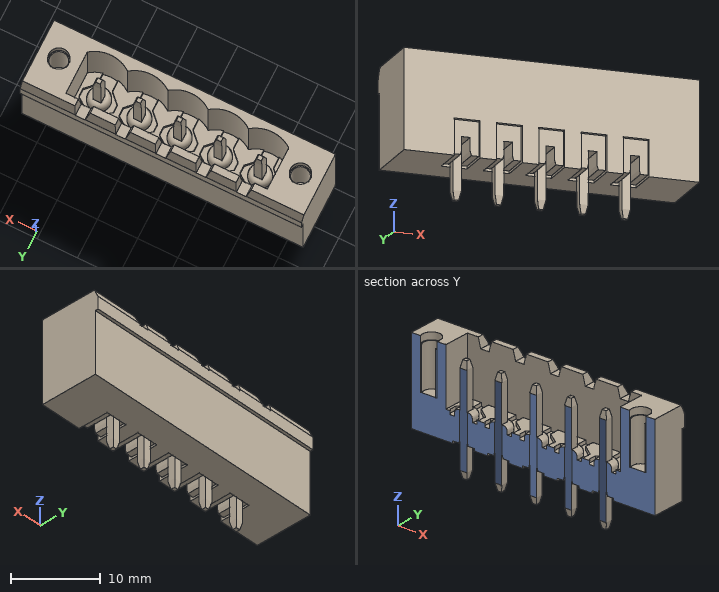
import cadquery as cq


pin_count = 5
pitch = 5.0
pin_y = 3.78
pin_xs = [(i - (pin_count - 1) / 2) * pitch for i in range(pin_count)]
sleeve_xs = [pin_xs[0] - pitch, pin_xs[-1] + pitch]

length = 35
body_depth = 8.1
lip_overhang = 0.42
full_depth = body_depth + lip_overhang
height = 11.97
lip_height = 3.0
lip_chamfer_depth = 0.6
lip_chamfer_height = 1.22

cavity_length = pin_count * pitch
cavity_rear_y = 7.05
scallop_cusp_y = 1.68
scallop_bottom_y = 0.85
floor_z = 4.0

pin_width = 1.0
pin_tip_width = 0.55
pin_taper = 1.0
pin_top_z = 10.7
pin_bottom_z = -4.02
pin_rear_y = pin_y + pin_width / 2

notch_top_width = 1.9
notch_bottom_width = 1.2
notch_depth = 1.35

recess_depth = 0.5
recess_width = 4.27
recess_front_width = notch_top_width
recess_rear_width = pin_width
recess_rear_bend_y = 5.75
recess_rear_side_y = 4.55
recess_front_side_y = 3.55
recess_front_bend_y = 2.35

boss_diameter = 2.8
boss_top_diameter = 1.6
boss_height = 1.0
boss_rounding = (boss_diameter - boss_top_diameter) / 2

window_width = 3.05
window_height = 4.35
window_depth = 0.45
slot_height = 2.4
relief_height = 0.3
slot_flare_top_z = 0.8
slot_flare_width = 1.3

sleeve_diameter = 2.5
sleeve_bore = 2.2
sleeve_sink = 0.98
sleeve_hole_depth = 7


def box(x_center, width, y_range, z_range):
    """Box of a given width about x_center that fills the given Y and Z ranges."""
    y_start, y_end = y_range
    z_start, z_end = z_range
    solid = cq.Workplane("XY").box(width, y_end - y_start, z_end - z_start, centered=(True, False, False))
    return solid.translate((x_center, y_start, z_start))


def housing_block():
    """Plain block extruded along X from its side profile with the chamfered lip."""
    profile = [
        (0, 0),
        (body_depth, 0),
        (body_depth, height - lip_height),
        (full_depth, height - lip_height),
        (full_depth, height - lip_chamfer_height),
        (full_depth - lip_chamfer_depth, height),
        (0, height),
    ]
    return cq.Workplane("YZ").polyline(profile).close().extrude(length / 2, both=True)


def mating_cavity():
    """Open-topped cavity whose front wall is one arc per pin."""
    side_x = cavity_length / 2
    outline = cq.Workplane("XY", origin=(0, 0, floor_z)).moveTo(-side_x, cavity_rear_y)
    outline = outline.lineTo(-side_x, scallop_cusp_y)
    for x in pin_xs:
        outline = outline.threePointArc((x, scallop_bottom_y), (x + pitch / 2, scallop_cusp_y))
    return outline.lineTo(side_x, cavity_rear_y).close().extrude(height - floor_z)


def notch(x):
    """Tapered notch through the rear wall, open at the top."""
    bottom_z = height - notch_depth
    profile = [
        (x - notch_top_width / 2, height),
        (x - notch_bottom_width / 2, bottom_z),
        (x + notch_bottom_width / 2, bottom_z),
        (x + notch_top_width / 2, height),
    ]
    rear_wall = cq.Workplane("XZ", origin=(0, cavity_rear_y, 0))
    return rear_wall.polyline(profile).close().extrude(cavity_rear_y - full_depth)


def floor_recess(x):
    """Recess across the cavity floor, widened around the pin and cut to the cavity outline."""
    right_side = [
        (recess_front_width / 2, 0),
        (recess_front_width / 2, recess_front_bend_y),
        (recess_width / 2, recess_front_side_y),
        (recess_width / 2, recess_rear_side_y),
        (recess_rear_width / 2, recess_rear_bend_y),
        (recess_rear_width / 2, cavity_rear_y),
    ]
    left_side = [(-half_width, y) for half_width, y in reversed(right_side)]
    outline = [(x + offset, y) for offset, y in right_side + left_side]
    recess = cq.Workplane("XY", origin=(0, 0, floor_z - recess_depth)).polyline(outline).close()
    return recess.extrude(recess_depth).intersect(mating_cavity().translate((0, 0, -recess_depth)))


def pin_boss(x):
    """Round boss with a rounded top edge, standing on the recess floor."""
    boss = cq.Workplane("XY", origin=(x, pin_y, floor_z - recess_depth))
    return boss.circle(boss_diameter / 2).extrude(boss_height).faces(">Z").edges().fillet(boss_rounding)


def pin_entry(x):
    """Front window, underside relief and flared slot that leave the pin open below the cavity."""
    window = box(x, window_width, (0, window_depth), (0, window_height))
    relief = box(x, window_width, (0, pin_rear_y), (0, relief_height))
    slot_profile = [
        (x - slot_flare_width / 2, relief_height),
        (x - pin_width / 2, slot_flare_top_z),
        (x - pin_width / 2, slot_height),
        (x + pin_width / 2, slot_height),
        (x + pin_width / 2, slot_flare_top_z),
        (x + slot_flare_width / 2, relief_height),
    ]
    slot = cq.Workplane("XZ").polyline(slot_profile).close().extrude(-pin_rear_y)
    return window.union(relief).union(slot)


def make_pin(x):
    """Square pin, tapered to a smaller square at both ends."""
    taper_top_z = pin_top_z - pin_taper
    taper_bottom_z = pin_bottom_z + pin_taper

    def end_taper(start_z, rise):
        base = cq.Workplane("XY", origin=(x, pin_y, start_z)).rect(pin_width, pin_width)
        return base.workplane(offset=rise).rect(pin_tip_width, pin_tip_width).loft()

    shaft = cq.Workplane("XY", origin=(x, pin_y, taper_bottom_z)).rect(pin_width, pin_width)
    shaft = shaft.extrude(taper_top_z - taper_bottom_z)
    return shaft.union(end_taper(taper_top_z, pin_taper)).union(end_taper(taper_bottom_z, -pin_taper))


def sleeve_hole(x):
    """Blind flange hole that holds a sleeve."""
    hole = cq.Workplane("XY", origin=(x, pin_y, height))
    return hole.circle(sleeve_diameter / 2).extrude(-sleeve_hole_depth)


def make_sleeve(x):
    """Tube on the bottom of the flange hole, sunk below the top face."""
    ring = cq.Workplane("XY", origin=(x, pin_y, height - sleeve_hole_depth))
    ring = ring.circle(sleeve_diameter / 2).circle(sleeve_bore / 2)
    return ring.extrude(sleeve_hole_depth - sleeve_sink)


def make_housing(pins):
    """Housing with its cavity, notches, bosses and flange holes, and a fitting hole for each pin."""
    body = housing_block().cut(mating_cavity())
    for x, pin in zip(pin_xs, pins):
        body = body.cut(notch(x)).cut(floor_recess(x)).union(pin_boss(x))
        body = body.cut(pin_entry(x)).cut(pin)
    for x in sleeve_xs:
        body = body.cut(sleeve_hole(x))
    return body


pins = [make_pin(x) for x in pin_xs]
sleeves = [make_sleeve(x) for x in sleeve_xs]
housing = make_housing(pins)

result = cq.Compound.makeCompound([housing.val(), *[body.val() for body in pins + sleeves]])